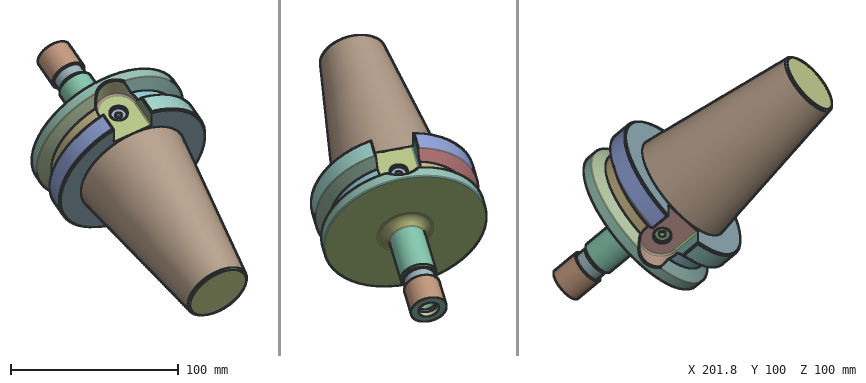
import cadquery as cq
import math

NOSE_LENGTH = 100.0
TAPER_LENGTH = 101.8
FACE_CLEARANCE = 3.0
FLANGE_WIDTH = 35.0
nose_x = -NOSE_LENGTH
flange_back_x = -FACE_CLEARANCE
flange_front_x = flange_back_x - FLANGE_WIDTH

SPINDLE_R = 22.0 / 2
NECK_R = 19.0 / 2
NECK_STEP_R = 19.7 / 2
COLLAR_LENGTH = 18.0
NECK_LENGTH = 6.7
SHOULDER_STEP = 0.7
SHOULDER_ANGLE = 45.0
neck_start_x = nose_x + COLLAR_LENGTH
neck_end_x = neck_start_x + NECK_LENGTH
shoulder_start_x = neck_end_x + SHOULDER_STEP
shoulder_length = (SPINDLE_R - NECK_STEP_R) / math.tan(math.radians(SHOULDER_ANGLE))
shoulder_end_x = shoulder_start_x + shoulder_length

UNDERCUT_R = 21.8 / 2
UNDERCUT_RAMP = 0.8
ROOT_FILLET = 5.0
FACE_RECESS = SPINDLE_R - UNDERCUT_R
FACE_RUNOUT = 1.5
root_x = flange_front_x + FACE_RECESS
root_start_x = root_x - ROOT_FILLET
root_outer_r = UNDERCUT_R + ROOT_FILLET
arc_offset = ROOT_FILLET * math.sqrt(0.5)

FLANGE_R = 100.0 / 2
FLANGE_EDGE = 0.8
GROOVE_CENTRE_FROM_GAUGE = 23.2
GROOVE_FLOOR_WIDTH = 6.8
GROOVE_FLOOR_R = 42.5
GROOVE_HALF_ANGLE = 30.0
GROOVE_LIP_FILLET = 0.6
groove_x = -GROOVE_CENTRE_FROM_GAUGE
groove_floor_half = GROOVE_FLOOR_WIDTH / 2
groove_flank = (FLANGE_R - GROOVE_FLOOR_R) * math.tan(math.radians(GROOVE_HALF_ANGLE))
groove_top_half = groove_floor_half + groove_flank
SELECT_MARGIN = 0.1
select_half = FLANGE_R + SELECT_MARGIN

GAUGE_R = 69.85 / 2
TAPER_SLOPE = 7 / 48
TAPER_END_CHAMFER = 1.0
taper_start_r = GAUGE_R + FACE_CLEARANCE * TAPER_SLOPE
taper_end_r = GAUGE_R - TAPER_LENGTH * TAPER_SLOPE

BORE_R = 11.0 / 2
PILOT_R = 12.5 / 2
PILOT_DEPTH = 3.5
PILOT_CONE_LENGTH = 1.5
BORE_DEPTH = 25.0
pilot_end_x = nose_x + PILOT_DEPTH

KEY_WIDTH = 25.7
KEY_FLOOR_Z = 35.4
KEY_CENTRE_X = -21.5
KEY_FLOOR_FILLET = 1.0
KEY_RIM_CHAMFER = 0.7

SEAT_CENTRE_X = -20.35
SEAT_R = 10.0 / 2
SEAT_MOUTH_R = 11.0 / 2
SEAT_DEPTH = 2.0
SCREW_HOLE_R = 4.0 / 2
SCREW_HOLE_DEPTH = 5.0
DRILL_POINT_ANGLE = 118.0


def revolve_about_x(profile):
    """Turn a closed XY profile into a body of revolution about the X axis."""
    return profile.close().revolve(360, (0, 0, 0), (1, 0, 0))


def spindle_nose():
    """Collar, neck, shank and the filleted undercut at the flange."""
    profile = (
        cq.Workplane("XY")
        .moveTo(nose_x, 0)
        .lineTo(nose_x, SPINDLE_R)
        .lineTo(neck_start_x, SPINDLE_R)
        .lineTo(neck_start_x, NECK_R)
        .lineTo(neck_end_x, NECK_R)
        .lineTo(shoulder_start_x, NECK_STEP_R)
        .lineTo(shoulder_end_x, SPINDLE_R)
        .lineTo(root_start_x - UNDERCUT_RAMP, SPINDLE_R)
        .lineTo(root_start_x, UNDERCUT_R)
        .threePointArc(
            (root_start_x + arc_offset, root_outer_r - arc_offset),
            (root_x, root_outer_r),
        )
        .lineTo(root_x, 0)
    )
    return revolve_about_x(profile)


def flange():
    """Flange with a rounded front edge, chamfered rear edge and V-groove."""
    profile = (
        cq.Workplane("XY")
        .moveTo(root_x, 0)
        .lineTo(root_x, root_outer_r)
        .lineTo(flange_front_x, root_outer_r + FACE_RUNOUT)
        .lineTo(flange_front_x, FLANGE_R - FLANGE_EDGE)
        .radiusArc((flange_front_x + FLANGE_EDGE, FLANGE_R), FLANGE_EDGE)
        .lineTo(groove_x - groove_top_half, FLANGE_R)
        .lineTo(groove_x - groove_floor_half, GROOVE_FLOOR_R)
        .lineTo(groove_x + groove_floor_half, GROOVE_FLOOR_R)
        .lineTo(groove_x + groove_top_half, FLANGE_R)
        .lineTo(flange_back_x - FLANGE_EDGE, FLANGE_R)
        .lineTo(flange_back_x, FLANGE_R - FLANGE_EDGE)
        .lineTo(flange_back_x, 0)
    )
    body = revolve_about_x(profile)
    for side in (-1, 1):
        lip_x = groove_x + side * groove_top_half
        lip = cq.selectors.BoxSelector(
            (lip_x - SELECT_MARGIN, -select_half, -select_half),
            (lip_x + SELECT_MARGIN, select_half, select_half),
            boundingbox=True,
        )
        body = body.edges(lip).fillet(GROOVE_LIP_FILLET)
    return body


def taper():
    """7/24 shank with a chamfered small end."""
    profile = (
        cq.Workplane("XY")
        .moveTo(flange_back_x, 0)
        .lineTo(flange_back_x, taper_start_r)
        .lineTo(TAPER_LENGTH, taper_end_r)
        .lineTo(TAPER_LENGTH, 0)
    )
    return revolve_about_x(profile).faces(">X").chamfer(TAPER_END_CHAMFER)


def nose_bore():
    """Blind bore with a wider pilot that narrows through a short cone."""
    profile = (
        cq.Workplane("XY")
        .moveTo(nose_x, 0)
        .lineTo(nose_x, PILOT_R)
        .lineTo(pilot_end_x, PILOT_R)
        .lineTo(pilot_end_x + PILOT_CONE_LENGTH, BORE_R)
        .lineTo(nose_x + BORE_DEPTH, BORE_R)
        .lineTo(nose_x + BORE_DEPTH, 0)
    )
    return revolve_about_x(profile)


def keyway():
    """Round-ended slot, open at the back of the flange, with a filleted floor."""
    half_width = KEY_WIDTH / 2
    overrun_x = flange_back_x + 2 * KEY_FLOOR_FILLET
    slot = (
        cq.Workplane("XY", origin=(0, 0, KEY_FLOOR_Z))
        .moveTo(overrun_x, -half_width)
        .lineTo(KEY_CENTRE_X, -half_width)
        .threePointArc((KEY_CENTRE_X - half_width, 0), (KEY_CENTRE_X, half_width))
        .lineTo(overrun_x, half_width)
        .close()
        .extrude(FLANGE_R)
    )
    return slot.faces("<Z").edges("not >X").fillet(KEY_FLOOR_FILLET)


def screw_seat():
    """Countersunk round seat with a small drilled hole in its floor."""
    seat_z = KEY_FLOOR_Z - SEAT_DEPTH
    hole_z = seat_z - SCREW_HOLE_DEPTH
    point_depth = SCREW_HOLE_R / math.tan(math.radians(DRILL_POINT_ANGLE / 2))
    return (
        cq.Workplane("XZ")
        .moveTo(0, KEY_FLOOR_Z)
        .lineTo(SEAT_MOUTH_R, KEY_FLOOR_Z)
        .lineTo(SEAT_R, KEY_FLOOR_Z - (SEAT_MOUTH_R - SEAT_R))
        .lineTo(SEAT_R, seat_z)
        .lineTo(SCREW_HOLE_R, seat_z)
        .lineTo(SCREW_HOLE_R, hole_z)
        .lineTo(0, hole_z - point_depth)
        .close()
        .revolve(360, (0, 0, 0), (0, 1, 0))
        .translate((SEAT_CENTRE_X, 0, 0))
    )


def straight_edge_bevel():
    """Tapered bar that bevels the straight keyway edges on the rear flange rim."""
    half_width = KEY_WIDTH / 2
    edge_z = math.sqrt(FLANGE_R**2 - half_width**2)
    low_z = edge_z - KEY_RIM_CHAMFER
    high_z = edge_z + KEY_RIM_CHAMFER
    top_half = half_width + high_z - low_z
    return (
        cq.Workplane("YZ", origin=(groove_x, 0, 0))
        .polyline([(-half_width, low_z), (half_width, low_z), (top_half, high_z), (-top_half, high_z)])
        .close()
        .extrude(flange_back_x - groove_x)
    )


def cut_drive_keyways(body):
    """Cut both keyways and screw seats, then bevel the keyway edges on the flange rims."""
    drive_cut = keyway().union(screw_seat())
    key_end_x = KEY_CENTRE_X - KEY_WIDTH / 2
    for turn in (0, 180):
        body = body.cut(drive_cut.rotate((0, 0, 0), (1, 0, 0), turn))
    for side in (-1, 1):
        round_edge = cq.selectors.NearestToPointSelector((key_end_x, 0, side * FLANGE_R))
        body = body.edges(round_edge).chamfer(KEY_RIM_CHAMFER)
    for turn in (0, 180):
        body = body.cut(straight_edge_bevel().rotate((0, 0, 0), (1, 0, 0), turn))
    return body


body = spindle_nose().union(flange()).union(taper()).cut(nose_bore())
result = cut_drive_keyways(body)